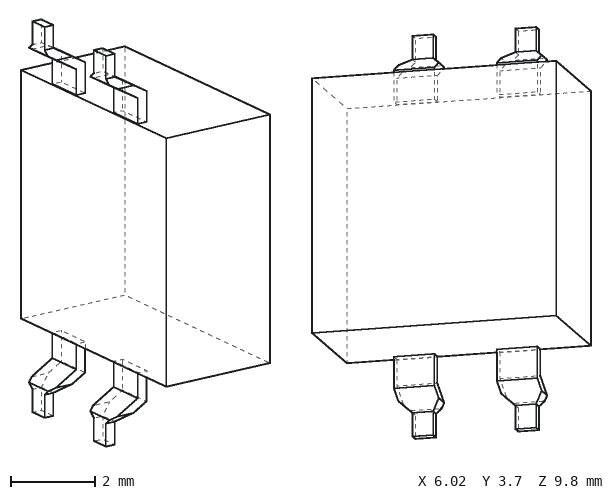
import cadquery as cq

overall_height = 9.8
overall_depth = 3.7
body_width = 6.02
body_depth = 3.0
body_height = 6.23

lead_pitch = 2.54
lead_width = 1.0
tip_width = 0.51
lead_thickness = 0.25
lead_depth = 1.0

tip_length = 0.58
front_bend = 0.71
taper_end = 0.79
shank_back_bend = 1.01
shank_front_bend = 1.14

lead_end = overall_height / 2
lead_root = body_height / 2
foot_front = body_depth - overall_depth
foot_back = foot_front + lead_thickness
shank_back = foot_front + lead_depth
shank_front = shank_back - lead_thickness


def make_lead(center_x):
    """Upper gull-wing lead: bent side profile trimmed to its necked outline."""
    bent_strip = (
        cq.Workplane("YZ", origin=(center_x, 0, 0))
        .moveTo(shank_back, lead_root)
        .lineTo(shank_back, lead_end - shank_back_bend)
        .lineTo(foot_back, lead_end - tip_length)
        .lineTo(foot_back, lead_end)
        .lineTo(foot_front, lead_end)
        .lineTo(foot_front, lead_end - front_bend)
        .lineTo(shank_front, lead_end - shank_front_bend)
        .lineTo(shank_front, lead_root)
        .close()
        .extrude(lead_width / 2, both=True)
    )
    outline = (
        cq.Workplane("XZ", origin=(center_x, 0, 0))
        .moveTo(-lead_width / 2, lead_root)
        .lineTo(-lead_width / 2, lead_end - taper_end)
        .lineTo(-tip_width / 2, lead_end - tip_length)
        .lineTo(-tip_width / 2, lead_end)
        .lineTo(tip_width / 2, lead_end)
        .lineTo(tip_width / 2, lead_end - tip_length)
        .lineTo(lead_width / 2, lead_end - taper_end)
        .lineTo(lead_width / 2, lead_root)
        .close()
        .extrude(overall_depth, both=True)
    )
    return bent_strip.intersect(outline)


result = cq.Workplane("XY").box(
    body_width, body_depth, body_height, centered=(True, False, True)
)

for side in (-1, 1):
    upper_lead = make_lead(side * lead_pitch / 2)
    lower_lead = upper_lead.mirror("XY")
    result = result.union(upper_lead).union(lower_lead)